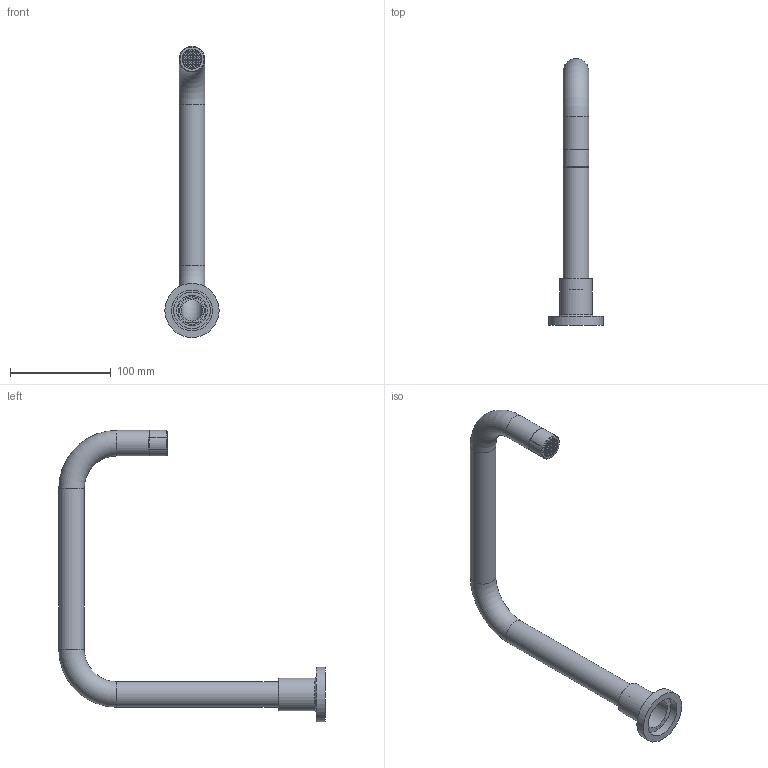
import cadquery as cq
import math

tube_radius = 12.7
bore_radius = 10.6
bend_radius = 45.0
leg_spacing = 250.0
overall_depth = 265.2
riser_y = overall_depth - tube_radius
bend_start_y = riser_y - bend_radius

flange_radius = 27.0
flange_thickness = 9.0
collar_radius = 16.2
collar_end_y = 47.0
collar_chamfer = 0.6
collar_fillet = 2.0

inlet_steps = [(20.3, 8.4), (15.2, 36.0), (13.8, 39.0), (12.4, 42.0)]

outlet_y = 157.0
nozzle_length = 18.0
seam_y = outlet_y + nozzle_length
rim_chamfer = 0.7
screen_radius = 9.8
screen_thickness = 2.0
screen_hole = 1.2
screen_pitch = 2.3
screen_angle = 45.0

pad_height = 0.2
pad_width = 12.0
pad_overlap = 0.8


def disc_along_y(radius, y_start, y_end, z=0.0):
    """Solid cylinder with its axis parallel to Y."""
    plane = cq.Plane(origin=(0, y_start, z), xDir=(1, 0, 0), normal=(0, 1, 0))
    return cq.Workplane(plane).circle(radius).extrude(y_end - y_start)


def swept_tube(radius, inlet_y):
    """Solid rod along the spout path, from inlet_y to the aerator seam."""
    bend_offset = bend_radius * math.sqrt(0.5)
    lower_mid = (bend_start_y + bend_offset, bend_radius - bend_offset)
    upper_mid = (bend_start_y + bend_offset, leg_spacing - bend_radius + bend_offset)
    path = (
        cq.Workplane("YZ")
        .moveTo(inlet_y, 0)
        .lineTo(bend_start_y, 0)
        .threePointArc(lower_mid, (riser_y, bend_radius))
        .lineTo(riser_y, leg_spacing - bend_radius)
        .threePointArc(upper_mid, (bend_start_y, leg_spacing))
        .lineTo(seam_y, leg_spacing)
    )
    section = cq.Plane(origin=(0, inlet_y, 0), xDir=(1, 0, 0), normal=(0, 1, 0))
    return cq.Workplane(section).circle(radius).sweep(path)


def make_spout():
    """Bent tube with its collar and wall flange."""
    fillet_inset = collar_fillet * (1 - math.sqrt(0.5))
    fillet_mid = (collar_radius + fillet_inset, flange_thickness + fillet_inset)
    fillet_end = (collar_radius, flange_thickness + collar_fillet)
    mount = (
        cq.Workplane("XY")
        .moveTo(0, 0)
        .lineTo(flange_radius, 0)
        .lineTo(flange_radius, flange_thickness)
        .lineTo(collar_radius + collar_fillet, flange_thickness)
        .threePointArc(fillet_mid, fillet_end)
        .lineTo(collar_radius, collar_end_y - collar_chamfer)
        .lineTo(collar_radius - collar_chamfer, collar_end_y)
        .lineTo(0, collar_end_y)
        .close()
        .revolve(360, (0, 0, 0), (0, 1, 0))
    )
    spout = mount.union(swept_tube(tube_radius, flange_thickness))
    spout = spout.cut(swept_tube(bore_radius, 0))
    for radius, depth in inlet_steps:
        spout = spout.cut(disc_along_y(radius, 0, depth))
    return spout


def screen_holes(y_start, y_end):
    """Diagonal grid of square holes, trimmed to the screen's circle."""
    count = math.ceil(screen_radius / screen_pitch)
    diagonal = math.radians(screen_angle)
    plane = cq.Plane(
        origin=(0, y_start, leg_spacing),
        xDir=(math.cos(diagonal), 0, math.sin(diagonal)),
        normal=(0, 1, 0),
    )
    grid = (
        cq.Workplane(plane)
        .rarray(screen_pitch, screen_pitch, 2 * count + 1, 2 * count + 1)
        .rect(screen_hole, screen_hole)
        .extrude(y_end - y_start)
    )
    return grid.intersect(disc_along_y(screen_radius, y_start, y_end, leg_spacing))


def make_pad():
    """Curved pad that lies on the nozzle and on the end of the tube, chamfered at the rim."""
    pad_radius = tube_radius + pad_height
    pad_end_y = seam_y + pad_overlap
    pad_length = pad_end_y - outlet_y
    shell = disc_along_y(pad_radius, outlet_y, pad_end_y, leg_spacing)
    shell = shell.faces("<Y").chamfer(rim_chamfer + pad_height)
    shell = shell.cut(disc_along_y(tube_radius, seam_y, pad_end_y, leg_spacing))
    shell = shell.cut(disc_along_y(bore_radius, outlet_y, seam_y, leg_spacing))
    side = cq.Workplane("XY").box(pad_radius, pad_length, pad_width)
    return shell.intersect(side.translate((-pad_radius / 2, outlet_y + pad_length / 2, leg_spacing)))


def make_aerator():
    """Nozzle sleeve with a raised side pad and a perforated screen across its outlet."""
    screen_back_y = outlet_y + screen_thickness
    nozzle = disc_along_y(tube_radius, outlet_y, seam_y, leg_spacing)
    nozzle = nozzle.faces("<Y").chamfer(rim_chamfer)
    nozzle = nozzle.cut(disc_along_y(bore_radius, screen_back_y, seam_y, leg_spacing))
    nozzle = nozzle.union(make_pad())
    return nozzle.cut(screen_holes(outlet_y, screen_back_y))


spout = make_spout()
aerator = make_aerator()

result = cq.Compound.makeCompound([spout.val(), aerator.val()])